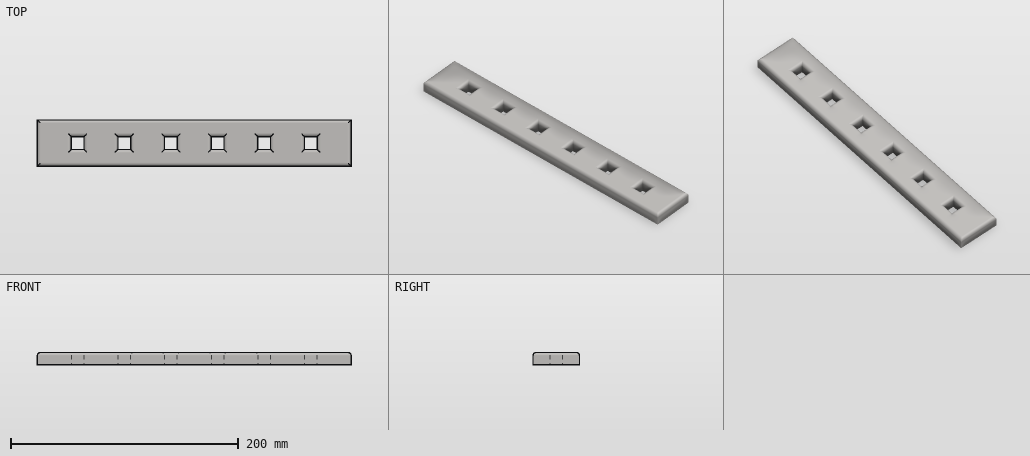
import cadquery as cq

length = 276.0
width = 41.0
thickness = 11.0

hole_count = 6
hole_pitch = 41.0
hole_side = 11.0

edge_radius = 3.0


def make_plate():
    """Flat rectangular bar resting on Z = 0."""
    return cq.Workplane("XY").box(length, width, thickness, centered=(True, True, False))


def cut_square_holes(body):
    """Cut the centred row of square holes right through the bar."""
    return (
        body.faces(">Z")
        .workplane(origin=(0, 0, thickness))
        .rarray(hole_pitch, 1, hole_count, 1)
        .rect(hole_side, hole_side)
        .cutThruAll()
    )


def round_top_edges(body):
    """Round every edge of the top face, both the outline and the hole mouths."""
    return body.faces(">Z").edges().fillet(edge_radius)


result = round_top_edges(cut_square_holes(make_plate()))